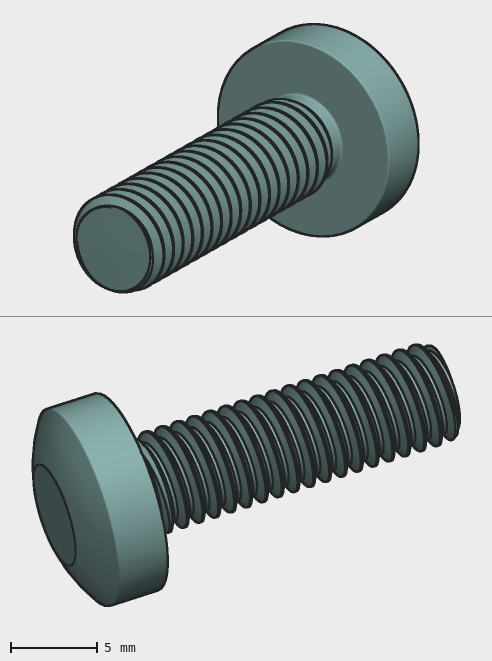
import cadquery as cq
import math

pitch = 1.0

total_length = 24.6
head_height = 4.6
shaft_length = total_length - head_height

head_radius = 6.0
dome_height = 1.5
head_top_radius = 3.08
head_edge_round = 0.1

neck_radius = 2.68
neck_length = pitch
neck_fillet = 0.15

major_radius = 3.0
root_radius = 2.45
root_flat = pitch / 4
flank_angle = 30.0
end_taper_angle = 30.0
tip_bulge = 0.05

envelope_margin = 0.37


def revolve_about_axis(profile):
    """Full turn of a closed XZ profile about the screw axis."""
    return profile.revolve(360, (0, 0, 0), (0, 1, 0))


def make_head():
    """Cylinder topped by a spherical dome with a flat crown; edges slightly rounded."""
    rim_height = head_height - dome_height
    centre_height = rim_height + (head_top_radius**2 + dome_height**2 - head_radius**2) / (2 * dome_height)
    sphere_radius = math.hypot(head_radius, rim_height - centre_height)
    mid_radius = (head_radius + head_top_radius) / 2
    mid_height = centre_height + math.sqrt(sphere_radius**2 - mid_radius**2)
    profile = (
        cq.Workplane("XZ")
        .lineTo(head_radius, 0)
        .lineTo(head_radius, rim_height)
        .threePointArc((mid_radius, mid_height), (head_top_radius, head_height))
        .lineTo(0, head_height)
        .close()
    )
    head = revolve_about_axis(profile)
    rim_edges = cq.selectors.RadiusNthSelector(1)
    return head.edges("%CIRCLE").edges(rim_edges).fillet(head_edge_round)


def make_neck():
    """Plain neck with a small fillet into the underside of the head."""
    arc_offset = neck_fillet * (1 - math.sqrt(0.5))
    profile = (
        cq.Workplane("XZ")
        .lineTo(neck_radius + neck_fillet, 0)
        .threePointArc(
            (neck_radius + arc_offset, -arc_offset),
            (neck_radius, -neck_fillet),
        )
        .lineTo(neck_radius, -neck_length)
        .lineTo(0, -neck_length)
        .close()
    )
    return revolve_about_axis(profile)


def make_thread():
    """Thread reaching past both ends of the shaft, sewn from one-turn helical faces.

    Each turn starts in the +X half plane, where a crest passes at tip height.
    """
    flank_height = (major_radius - root_radius) * math.tan(math.radians(flank_angle))
    crest_flat = pitch - root_flat - 2 * flank_height
    start = -shaft_length + (pitch - root_flat) / 2 - 2 * pitch
    profile = [
        (root_radius, 0),
        (root_radius, root_flat),
        (major_radius, root_flat + flank_height),
        (major_radius, root_flat + flank_height + crest_flat),
        (root_radius, pitch),
    ]

    def helix_turn(radius, height):
        helix = cq.Wire.makeHelix(pitch, pitch, radius)
        return helix.Edges()[0].translate(cq.Vector(0, 0, height))

    def helical_faces(turn_start):
        turns = [helix_turn(radius, turn_start + height) for radius, height in profile]
        return [cq.Face.makeRuledSurface(lower, upper) for lower, upper in zip(turns, turns[1:])]

    def end_faces(turn_start):
        """Helicoid from the axis out to the root, and the radial wall that closes its step."""
        axis_edge = cq.Edge.makeLine(
            cq.Vector(0, 0, turn_start),
            cq.Vector(0, 0, turn_start + pitch),
        )
        helicoid = cq.Face.makeRuledSurface(axis_edge, helix_turn(root_radius, turn_start))
        outline = [(0, 0)] + profile + [(0, pitch)]
        corners = [cq.Vector(radius, 0, turn_start + height) for radius, height in outline]
        wall = cq.Face.makeFromWires(cq.Wire.makePolygon(corners, close=True))
        return [helicoid, wall]

    turn_count = math.ceil((-neck_length - start) / pitch)
    faces = end_faces(start) + end_faces(start + turn_count * pitch)
    for turn in range(turn_count):
        faces += helical_faces(start + turn * pitch)
    return cq.Workplane(obj=cq.Solid.makeSolid(cq.Shell.makeShell(faces)))


def make_thread_envelope():
    """Space the thread may fill: tapered at both ends, with a faintly conical tip."""
    outer_radius = major_radius + envelope_margin
    taper_length = (outer_radius - neck_radius) / math.tan(math.radians(end_taper_angle))
    tip_edge = tip_bulge - shaft_length
    profile = cq.Workplane("XZ").polyline([
        (0, -neck_length),
        (neck_radius, -neck_length),
        (outer_radius, -neck_length - taper_length),
        (outer_radius, tip_edge + taper_length),
        (neck_radius, tip_edge),
        (0, -shaft_length),
    ]).close()
    return revolve_about_axis(profile)


head_and_neck = make_head().union(make_neck())
thread = make_thread_envelope().intersect(make_thread(), clean=False)
screw = head_and_neck.union(thread, clean=False)

result = screw.rotate((0, 0, 0), (1, 0, 0), -90)